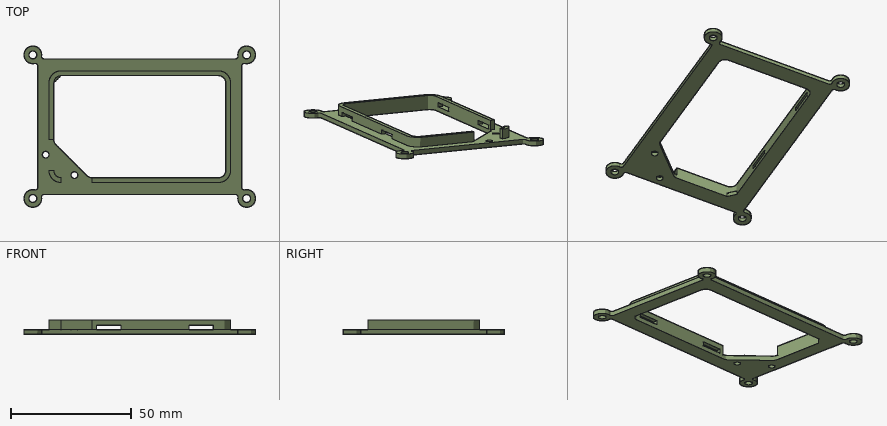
import cadquery as cq

total_length = 95.8
total_width = 66.8
total_height = 6.0

plate_length = 84.5
plate_width = 56.1
plate_thickness = 2.0

ear_diameter = 7.4
ear_hole_diameter = 3.2
ear_fillet = 1.0
ear_spacing_x = total_length - ear_diameter
ear_spacing_y = total_width - ear_diameter

rim_length = 75.1
rim_width = 46.2
rim_thickness = 2.0
rim_outer_radius = 5.0
opening_radius = rim_outer_radius - rim_thickness
opening_length = rim_length - 2 * rim_thickness
opening_width = rim_width - 2 * rim_thickness

small_chamfer = opening_radius
large_chamfer = 14.6
rim_end_setback = 1.2

slot_length = 10.0
slot_height = 1.7
slot_centers_x = (-12.8, 25.4)

pilot_diameter = 2.7
pilot_positions = [(-38.9, -11.6), (-27.0, -20.0)]


def make_plate():
    """Flat plate with four ears blended into its corners."""
    plate = cq.Workplane("XY").rect(plate_length, plate_width).extrude(plate_thickness)
    ears = (
        cq.Workplane("XY")
        .rect(ear_spacing_x, ear_spacing_y, forConstruction=True)
        .vertices()
        .circle(ear_diameter / 2)
        .extrude(plate_thickness)
    )
    return plate.union(ears).edges("|Z").fillet(ear_fillet)


def make_plate_opening():
    """Opening with one small and one large straight corner; the other corners are round."""
    corner_block = cq.Workplane("XY").rect(opening_length, opening_width).extrude(plate_thickness)
    return (
        corner_block
        .edges("|Z and >X").fillet(opening_radius)
        .edges("|Z and <X and >Y").chamfer(small_chamfer)
        .edges("|Z and <X and <Y").chamfer(large_chamfer)
        .edges(cq.selectors.NearestToPointSelector(
            (-opening_length / 2, -opening_width / 2 + large_chamfer, plate_thickness / 2)
        )).fillet(opening_radius)
        .edges(cq.selectors.NearestToPointSelector(
            (-opening_length / 2 + large_chamfer, -opening_width / 2, plate_thickness / 2)
        )).fillet(opening_radius)
    )


def corner_box(size):
    """Full-height box placed at the -X, -Y outer corner of the rim."""
    return (
        cq.Workplane("XY")
        .box(size, size, total_height, centered=False)
        .translate((-rim_length / 2, -rim_width / 2, 0))
    )


def make_rim():
    """Rounded wall with a gap at one corner, where only the curved piece remains."""
    outer = cq.Workplane("XY").rect(rim_length, rim_width).extrude(total_height)
    inner = cq.Workplane("XY").rect(opening_length, opening_width).extrude(total_height)
    ring = outer.edges("|Z").fillet(rim_outer_radius).cut(inner.edges("|Z").fillet(opening_radius))

    gap_size = rim_thickness + large_chamfer + rim_end_setback
    gap = corner_box(gap_size)
    kept_corner = corner_box(rim_outer_radius)
    rim = ring.cut(gap.cut(kept_corner))

    slots = (
        cq.Workplane("XY", origin=(0, 0, plate_thickness))
        .pushPoints([(x, 0) for x in slot_centers_x])
        .rect(slot_length, plate_width)
        .extrude(slot_height)
    )
    return rim.cut(slots)


def make_holes(positions, diameter):
    """Cylinders passing through the plate."""
    return cq.Workplane("XY").pushPoints(positions).circle(diameter / 2).extrude(plate_thickness)


ear_positions = [
    (side_x * ear_spacing_x / 2, side_y * ear_spacing_y / 2)
    for side_x in (-1, 1)
    for side_y in (-1, 1)
]

result = (
    make_plate()
    .cut(make_plate_opening())
    .union(make_rim())
    .cut(make_holes(ear_positions, ear_hole_diameter))
    .cut(make_holes(pilot_positions, pilot_diameter))
)